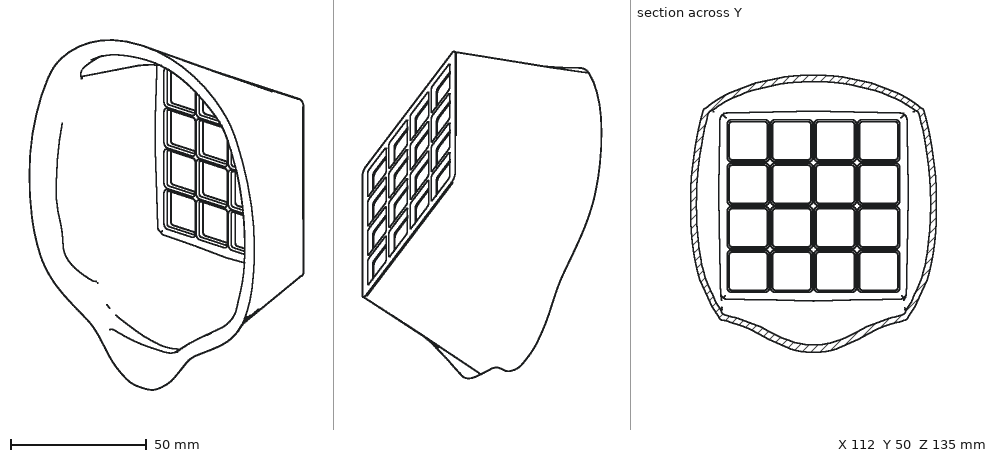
import cadquery as cq
import math

depth = 50.0
rim_half_width = 56.0
rim_top = 61.8
rim_bottom = rim_top - 135.0

rear_half = 35.0
rear_corner_radius = 2.5
rear_band = 0.5
side_seam_z = -11.6

wall_at_rim = 3.0
floor_y = 47.0
floor_half = 34.2
floor_fillet = 3.0
floor_corner_radius = 2.5
end_inset = 2.5

lip_inset = 6.2
lip_corner_inset = 5.8
lip_bottom = -60.6
lip_shoulder = [(21.1, -51.1), (12.0, -57.5)]
rim_fillet = 2.4
chin_inset = 5.8
chin_depth = 8.5
chin_mouth = [(24.0, -48.0), (18.5, -53.5), (13.8, -60.2)]
chin_throat = [(20.0, -46.0), (14.0, -51.0), (9.5, -56.0)]

cells = 4
cell_pitch = 16.0
bar_width = 2.0
hole_corner_radius = 1.0
bar_bevel = 0.8
bevel_angle = 45.0

brow = [(0, rim_top), (25.3, 56.5), (37.9, 48.4), (43.1, 42.9), (46.4, 37.5)]
temple_corner = [(46.4, 37.5), (46.85, 36.6)]
cheek = [(46.85, 36.6), (51.7, 24.0), (55.4, 6.9), (rim_half_width, -6.0), (55.0, -18.7), (52.2, -30.0)]
jaw = [(52.2, -30.0), (50.1, -35.0), (43.6, -43.1), (35.0, -49.0)]
jaw_corner = [(35.0, -49.0), (34.3, -49.4)]
chin = [(34.3, -49.4), (27.3, -53.3), (22.4, -57.3), (18.6, -62.0), (13.8, -67.5), (7.7, -71.7), (0, rim_bottom)]
stretches = [brow, temple_corner, cheek, jaw, jaw_corner, chin]


def outline_normals():
    """Outward unit normal at every outline point, square to the circle through it and its neighbours."""
    points = list(dict.fromkeys(p for stretch in stretches for p in stretch))
    normals = {}
    for i, point in enumerate(points):
        before = points[i - 1] if i > 0 else (-points[1][0], points[1][1])
        after = points[i + 1] if i < len(points) - 1 else (-points[-2][0], points[-2][1])
        span_in = math.dist(before, point)
        span_out = math.dist(point, after)
        weight_in = span_out / span_in
        weight_out = span_in / span_out
        dx = weight_in * (point[0] - before[0]) + weight_out * (after[0] - point[0])
        dz = weight_in * (point[1] - before[1]) + weight_out * (after[1] - point[1])
        length = math.hypot(dx, dz)
        normals[point] = (-dz / length, dx / length)
    return normals


normals = outline_normals()


def inset_point(point, inset):
    nx, nz = normals[point]
    return (point[0] - inset * nx, point[1] - inset * nz)


def at_depth(point, y):
    return cq.Vector(point[0], y, point[1])


def rim_edges(inset, y):
    """Right half of the rim outline, moved inward, one edge per stretch."""
    edges = []
    for stretch in stretches:
        points = [at_depth(inset_point(p, inset), y) for p in stretch]
        if len(points) == 2:
            edges.append(cq.Edge.makeLine(points[0], points[1]))
        else:
            ends = [normals[stretch[0]], normals[stretch[-1]]]
            tangents = [cq.Vector(nz, 0, -nx) for nx, nz in ends]
            edges.append(cq.Edge.makeSpline(points, tangents=tangents))
    return edges


def square_edges(half, radius, y):
    """Right half of a rounded square, one edge for each stretch of the rim outline."""
    flat = half - radius
    mid = flat + radius * math.sqrt(0.5)

    def line(a, b):
        return cq.Edge.makeLine(at_depth(a, y), at_depth(b, y))

    def arc(a, b, c):
        return cq.Edge.makeThreePointArc(at_depth(a, y), at_depth(b, y), at_depth(c, y))

    return [
        line((0, half), (flat, half)),
        arc((flat, half), (mid, mid), (half, flat)),
        line((half, flat), (half, side_seam_z)),
        line((half, side_seam_z), (half, -flat)),
        arc((half, -flat), (mid, -mid), (flat, -half)),
        line((flat, -half), (0, -half)),
    ]


def tapered_body(rim, square):
    """Solid whose walls are ruled between matching edges of the rim and of the square."""
    sections = []
    for right_half in (rim, square):
        left_half = [edge.mirror("YZ") for edge in reversed(right_half)]
        sections.append(cq.Wire.assembleEdges(right_half + left_half))
    return cq.Workplane(obj=cq.Solid.makeLoft(sections, True))


def front_plane(y):
    """Sketch plane across the part, extruding toward +Y; local coordinates are (x, -z)."""
    return cq.Workplane(cq.Plane(origin=(0, y, 0), xDir=(1, 0, 0), normal=(0, 1, 0)))


def make_outer():
    taper_end = depth - rear_band
    rear = square_edges(rear_half, rear_corner_radius, taper_end)
    body = tapered_body(rim_edges(0, 0), rear)
    band = front_plane(taper_end).rect(2 * rear_half, 2 * rear_half).extrude(rear_band)
    return body.union(band.edges("|Y").fillet(rear_corner_radius))


def make_lip():
    """Straight-sided opening that follows the rim and closes above the chin."""
    right = [inset_point(p, lip_inset) for p in brow[1:3]]
    right += [inset_point(p, lip_corner_inset) for p in brow[3:] + cheek[1:2]]
    right += [inset_point(p, lip_inset) for p in cheek[2:]]
    right += [inset_point(p, lip_corner_inset) for p in jaw[1:]]
    right += lip_shoulder
    left = [(-x, z) for x, z in reversed(right)]
    top = inset_point(brow[0], lip_inset)
    loop = [top] + right + [(0, lip_bottom)] + left
    return front_plane(0).spline([(x, -z) for x, z in loop], periodic=True).close().extrude(depth)


def make_chin_relief():
    """Sloping scoop that carries the opening down into the chin."""
    def section(side, bottom, y):
        points = side + [(0, bottom)] + [(-x, z) for x, z in reversed(side)]
        curve = cq.Edge.makeSpline([at_depth(p, y) for p in points])
        top = cq.Edge.makeLine(curve.endPoint(), curve.startPoint())
        return cq.Wire.assembleEdges([curve, top])

    mouth = section(chin_mouth, rim_bottom + chin_inset, 0)
    throat = section(chin_throat, lip_bottom, chin_depth)
    return cq.Workplane(obj=cq.Solid.makeLoft([mouth, throat], True))


def make_rounded_end():
    """Flat-sided funnel around the taper that rounds its edges at the floor."""
    def rectangle(half_width, top, bottom, y):
        corners = [(half_width, top), (half_width, bottom), (-half_width, bottom), (-half_width, top)]
        return cq.Wire.makePolygon([at_depth(c, y) for c in corners], close=True)

    mouth = rectangle(rim_half_width - end_inset, rim_top - end_inset, rim_bottom + end_inset, 0)
    floor = rectangle(floor_half, floor_half, -floor_half, floor_y)
    funnel = cq.Workplane(obj=cq.Solid.makeLoft([mouth, floor], True))
    return funnel.faces(">Y").edges().fillet(floor_fillet)


def make_cavity():
    """Tapered interior, kept inside the lip near the rim, plus the chin relief."""
    floor = square_edges(floor_half, floor_corner_radius, floor_y)
    taper = tapered_body(rim_edges(wall_at_rim, 0), floor)
    return taper.intersect(make_rounded_end()).intersect(make_lip()).union(make_chin_relief())


def make_grille_holes():
    """Grid of through holes whose inner edges are bevelled, leaving ridged bars."""
    hole_side = cell_pitch - bar_width
    first = -(cells - 1) / 2 * cell_pitch
    centres = [(first + i * cell_pitch, first + j * cell_pitch) for i in range(cells) for j in range(cells)]
    straight = front_plane(floor_y).rect(hole_side, hole_side).extrude(depth - floor_y).edges("|Y")
    straight = straight.fillet(hole_corner_radius)
    wide_side = hole_side + 2 * bar_bevel
    bevel_outline = cq.Sketch().rect(wide_side, wide_side).vertices().fillet(hole_corner_radius + bar_bevel)
    bevel = front_plane(floor_y).placeSketch(bevel_outline).extrude(bar_bevel, taper=bevel_angle)
    hole = straight.union(bevel)
    holes = [hole.translate((x, 0, z)).val() for x, z in centres]
    return cq.Workplane(obj=cq.Compound.makeCompound(holes))


def make_hood():
    hood = make_outer().cut(make_cavity())
    rim_face = hood.faces("<Y")
    opening = rim_face.val().innerWires()[0].Edges()
    hood = hood.newObject(opening).fillet(rim_fillet)
    return hood.cut(make_grille_holes())


result = make_hood()